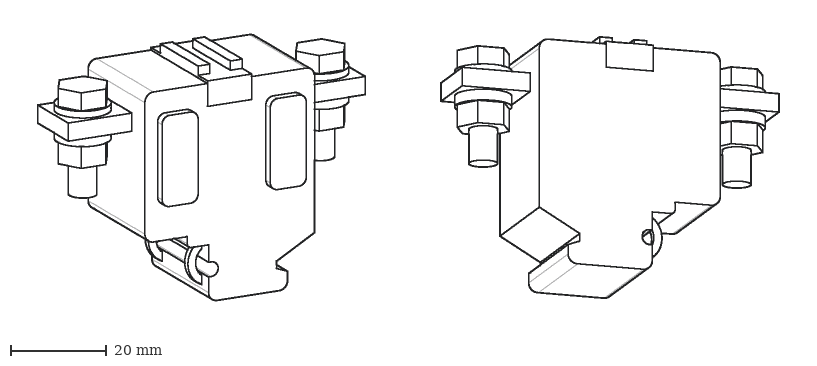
import cadquery as cq
import math


housing_width = 26.0
housing_depth = 40.0
housing_height = 48.0
corner_radius = 2.0
half_width = housing_width / 2
half_depth = housing_depth / 2

front_ledge_z = 15.05
step_y = -10.0
step_z = 12.5
step_radius = 1.0
foot_front_y = -5.0
slope_top_z = 11.55
rail_groove_y = 11.05
rail_groove_top_z = 6.6
rail_groove_bottom_z = 5.0
foot_back_y = 13.65
lip_z = 4.0

slot_width = 3.2
slot_depth = 2.25
slot_z = 7.1

fin_thickness = 1.5
fin_spacing = 18.05
fin_outer_radius = 5.45
fin_inner_radius = 3.65
fin_center_y = -2.7
fin_center_z = 7.85

pad_thickness = 2.0
pad_width = 8.5
pad_corner_radius = 1.75
pad_height = 20.0
pad_bottom_z = 23.0
pad_offset_y = 12.75

overall_length = 70.0
bar_width = 14.0
bar_thickness = 4.0
bar_bottom_z = 38.0
bar_length = (overall_length - housing_depth) / 2
terminal_x = 0.1
bolt_y = 28.0
hex_across_flats = 10.0
hex_across_corners = hex_across_flats / math.cos(math.radians(30))
washer_diameter = 12.0
upper_washer_thickness = 1.5
lower_washer_thickness = 2.3
head_height = 4.0
nut_height = 4.8
shank_diameter = 6.0
shank_end_z = 23.45

insert_width = 10.4
insert_bottom_z = 43.0
insert_height = 5.6
rib_length = 17.2
rib_width = 2.8
rib_height = 2.0


def box(size_x, size_y, size_z, x, y, bottom_z):
    """Box centred on (x, y) and standing on bottom_z."""
    return cq.Workplane("XY", origin=(x, y, bottom_z)).rect(size_x, size_y).extrude(size_z)


def cylinder(diameter, height, x, y, bottom_z):
    return cq.Workplane("XY", origin=(x, y, bottom_z)).circle(diameter / 2).extrude(height)


def hexagon(height, x, y, bottom_z):
    """Hexagonal prism with two corners pointing along Y."""
    prism = cq.Workplane("XY", origin=(x, y, bottom_z)).polygon(6, hex_across_corners).extrude(height)
    return prism.rotate((x, y, 0), (x, y, 1), 90)


def make_block():
    """Housing profile in the YZ plane, extruded across X, with rounded edges."""
    profile = [
        (-half_depth, housing_height),
        (-half_depth, front_ledge_z),
        (step_y, front_ledge_z),
        (step_y, step_z),
        (foot_front_y, step_z),
        (foot_front_y, 0),
        (foot_back_y, 0),
        (foot_back_y, lip_z),
        (rail_groove_y, rail_groove_bottom_z),
        (rail_groove_y, rail_groove_top_z),
        (half_depth, slope_top_z),
        (half_depth, housing_height),
    ]
    block = cq.Workplane("YZ", origin=(-half_width, 0, 0)).polyline(profile).close().extrude(housing_width)

    rounded_corners = [
        (-half_depth, housing_height, corner_radius),
        (half_depth, housing_height, corner_radius),
        (-half_depth, front_ledge_z, corner_radius),
        (foot_front_y, 0, corner_radius),
        (foot_back_y, 0, corner_radius),
        (step_y, step_z, step_radius),
    ]
    for y, z, radius in rounded_corners:
        block = block.edges(cq.selectors.NearestToPointSelector((0, y, z))).fillet(radius)
    return block


def make_foot_slot():
    """Slot entering the foot from its front face, ending in a half round."""
    radius = slot_width / 2
    round_y = foot_front_y + slot_depth - radius
    return (
        cq.Workplane("YZ", origin=(-half_width, 0, 0))
        .moveTo(foot_front_y, slot_z - radius)
        .lineTo(round_y, slot_z - radius)
        .threePointArc((round_y + radius, slot_z), (round_y, slot_z + radius))
        .lineTo(foot_front_y, slot_z + radius)
        .close()
        .extrude(housing_width)
    )


def make_fin(x):
    """Part of a flat ring that stands out in front of the foot, below the step."""
    ring = (
        cq.Workplane("YZ", origin=(x - fin_thickness / 2, fin_center_y, fin_center_z))
        .circle(fin_outer_radius)
        .circle(fin_inner_radius)
        .extrude(fin_thickness)
    )
    front_space = box(fin_thickness, fin_outer_radius, step_z, x, foot_front_y - fin_outer_radius / 2, 0)
    return ring.intersect(front_space)


def make_pad(y):
    """Rounded rectangular pad on the +X face."""
    pad = box(pad_thickness, pad_width, pad_height, half_width + pad_thickness / 2, y, pad_bottom_z)
    return pad.edges("|X").fillet(pad_corner_radius)


def make_terminal(side):
    """Terminal bar with its bolt, washers and nut; side is -1 or 1 along Y."""
    y = side * bolt_y
    bar_top_z = bar_bottom_z + bar_thickness
    head_bottom_z = bar_top_z + upper_washer_thickness
    nut_top_z = bar_bottom_z - lower_washer_thickness
    nut_bottom_z = nut_top_z - nut_height

    bar_y = side * (half_depth + bar_length / 2)
    terminal = box(bar_width, bar_length, bar_thickness, terminal_x, bar_y, bar_bottom_z)
    terminal = terminal.union(cylinder(washer_diameter, upper_washer_thickness, terminal_x, y, bar_top_z))
    terminal = terminal.union(hexagon(head_height, terminal_x, y, head_bottom_z))
    terminal = terminal.union(cylinder(washer_diameter, lower_washer_thickness, terminal_x, y, nut_top_z))
    terminal = terminal.union(hexagon(nut_height, terminal_x, y, nut_bottom_z))
    shank_length = nut_bottom_z - shank_end_z
    return terminal.union(cylinder(shank_diameter, shank_length, terminal_x, y, shank_end_z))


def make_housing():
    """Housing with its foot, fins, pads and terminals, and a recess for the insert."""
    recess_depth = housing_height - insert_bottom_z
    recess = box(housing_width, insert_width, recess_depth, 0, 0, insert_bottom_z)
    housing = make_block().cut(make_foot_slot()).cut(recess)
    for side in (-1, 1):
        housing = housing.union(make_fin(side * fin_spacing / 2))
        housing = housing.union(make_pad(side * pad_offset_y))
        housing = housing.union(make_terminal(side))
    return housing


def make_marker_insert():
    """Bar filling the top recess, with a rib along each long edge."""
    insert = box(housing_width, insert_width, insert_height, 0, 0, insert_bottom_z)
    rib_y = (insert_width - rib_width) / 2
    for side in (-1, 1):
        rib = box(rib_length, rib_width, rib_height, 0, side * rib_y, insert_bottom_z + insert_height)
        insert = insert.union(rib)
    return insert


housing = make_housing()
marker_insert = make_marker_insert()
result = cq.Compound.makeCompound([housing.val(), marker_insert.val()])